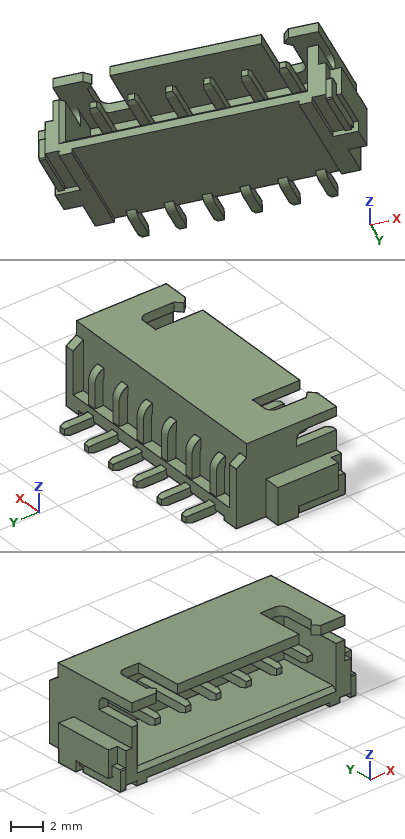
import cadquery as cq
import math

body_width = 17.52
body_height = 6.0
wall_rear = 7.8
main_rear = 7.0
slope_bottom = 4.45
slope_top = 4.95
body_half = body_width / 2

cavity_half = 8.05
cavity_rear = 4.92
floor_top = 1.2
roof_bottom = 5.3
lead_in = 0.3

window_depth = 3.1
window_bottom = 4.28
opening_radius = 0.6
slot_inner = 5.0
slot_outer = 6.78
slot_depth = 3.68
latch_size = 0.45

foot_height = 0.3
foot_inner = 7.5

overall_half = 10.0
ear_height = 2.8
ear_rear = 5.5
ear_inner = 9.25
step_front = 0.8
step_height = 0.78
step_rear = 3.88
recess_inner = 8.35
recess_height = 0.35
tab_outer = 9.68
tab_height = 1.58
tab_notch = 0.32
tab_bevel = 0.08

pin_count = 6
pin_pitch = 2.5
pin_size = 0.65
pin_axis_height = 3.65
pin_front = 0.45
pin_rear = 10.0
pin_leg_rear = 7.7
bend_inner_radius = 0.32
tip_length = 0.4
tip_inset = 0.1

SIDES = (-1, 1)


def box(x_range, y_range, z_range):
    """Box between two coordinates on each axis."""
    size = [high - low for low, high in (x_range, y_range, z_range)]
    corner = (x_range[0], y_range[0], z_range[0])
    return cq.Workplane("XY").box(*size, centered=False).translate(corner)


def side_box(side, x_inner, x_outer, y_range, z_range):
    """Box on the left (-1) or right (+1), between two distances from the middle plane."""
    x_range = sorted((side * x_inner, side * x_outer))
    return box(x_range, y_range, z_range)


def make_block():
    """Full-width block with the sloped rear corner, lowered at the rear between the side walls."""
    profile = [
        (0, 0),
        (wall_rear, 0),
        (wall_rear, slope_bottom),
        (main_rear, slope_top),
        (main_rear, body_height),
        (0, body_height),
    ]
    block = cq.Workplane("YZ").polyline(profile).close().extrude(body_half, both=True)
    rear_bay = box((-cavity_half, cavity_half), (main_rear, wall_rear), (floor_top, body_height))
    underside = box((-foot_inner, foot_inner), (0, wall_rear), (0, foot_height))
    return block.cut(rear_bay).cut(underside)


def make_cavity():
    """Mating cavity whose mouth widens by an entry chamfer at the floor and the left wall."""
    left = -cavity_half
    cavity = box((left, cavity_half), (0, cavity_rear), (floor_top, roof_bottom))
    mouth = cq.Workplane("XZ").polyline([
        (left - lead_in, floor_top - lead_in),
        (cavity_half, floor_top - lead_in),
        (cavity_half, roof_bottom),
        (left - lead_in, roof_bottom),
    ]).close()
    chamfered_mouth = mouth.workplane(offset=-lead_in).polyline([
        (left, floor_top),
        (cavity_half, floor_top),
        (cavity_half, roof_bottom),
        (left, roof_bottom),
    ]).close()
    return cavity.union(chamfered_mouth.loft(ruled=True))


def make_windows():
    """Opening through both side walls, with a rounded upper rear corner."""
    return (
        box((-body_half, body_half), (0, window_depth), (window_bottom, roof_bottom))
        .edges("|X and >Y and >Z")
        .fillet(opening_radius)
    )


def make_roof_slot(side):
    """Slot through the roof, narrowed at its mouth by a triangular nub."""
    corner_cut = opening_radius * (1 - math.sqrt(0.5))
    return (
        cq.Workplane("XY", origin=(0, 0, roof_bottom))
        .moveTo(side * slot_inner, 0)
        .lineTo(side * slot_outer, 0)
        .lineTo(side * (slot_outer - latch_size), latch_size)
        .lineTo(side * slot_outer, 2 * latch_size)
        .lineTo(side * slot_outer, slot_depth - opening_radius)
        .threePointArc(
            (side * (slot_outer - corner_cut), slot_depth - corner_cut),
            (side * (slot_outer - opening_radius), slot_depth),
        )
        .lineTo(side * slot_inner, slot_depth)
        .close()
        .extrude(body_height - roof_bottom)
    )


def make_ear(side):
    """Mounting ear, stepped back in front and below to make room for the solder tab."""
    ear = side_box(side, body_half, overall_half, (0, ear_rear), (0, ear_height))
    front_step = side_box(side, ear_inner, overall_half, (0, step_front), (0, ear_height))
    lower_step = side_box(side, ear_inner, overall_half, (0, step_rear), (0, step_height))
    return ear.cut(front_step).cut(lower_step)


def make_recess(side):
    """Recess under the body beside the solder tab."""
    return side_box(side, recess_inner, ear_inner, (0, step_rear), (0, recess_height))


def make_pin_tip(y_base, height, direction):
    """Tapered pin end that points along Y in the given direction."""
    taper = math.degrees(math.atan2(tip_inset, tip_length))
    plane = cq.Plane(origin=(0, y_base, height), xDir=(1, 0, 0), normal=(0, direction, 0))
    return cq.Workplane(plane).rect(pin_size, pin_size).extrude(tip_length, taper=taper)


def make_pin():
    """Square pin: straight in the cavity, bent down behind it and bent back into a solder foot."""
    foot_axis_height = pin_size / 2
    leg_axis = pin_leg_rear - pin_size / 2
    bend = bend_inner_radius + pin_size / 2
    bend_cut = bend * (1 - math.sqrt(0.5))
    straight_front = pin_front + tip_length
    foot_end = pin_rear - tip_length
    path = (
        cq.Workplane("YZ")
        .moveTo(straight_front, pin_axis_height)
        .lineTo(leg_axis - bend, pin_axis_height)
        .threePointArc(
            (leg_axis - bend_cut, pin_axis_height - bend_cut),
            (leg_axis, pin_axis_height - bend),
        )
        .lineTo(leg_axis, foot_axis_height + bend)
        .threePointArc(
            (leg_axis + bend_cut, foot_axis_height + bend_cut),
            (leg_axis + bend, foot_axis_height),
        )
        .lineTo(foot_end, foot_axis_height)
    )
    start = cq.Plane(origin=(0, straight_front, pin_axis_height), xDir=(1, 0, 0), normal=(0, 1, 0))
    bar = cq.Workplane(start).rect(pin_size, pin_size).sweep(path)
    mating_tip = make_pin_tip(straight_front, pin_axis_height, -1)
    solder_tip = make_pin_tip(foot_end, foot_axis_height, 1)
    return bar.union(mating_tip).union(solder_tip)


def make_housing():
    """Housing with its contacts as one solid."""
    housing = make_block()
    for side in SIDES:
        housing = housing.union(make_ear(side))
    housing = housing.cut(make_cavity()).cut(make_windows())
    for side in SIDES:
        housing = housing.cut(make_roof_slot(side)).cut(make_recess(side))
    pin = make_pin()
    for index in range(pin_count):
        x = (index - (pin_count - 1) / 2) * pin_pitch
        housing = housing.union(pin.translate((x, 0, 0)))
    return housing


def make_tab(side):
    """Solder tab: low strip beside the body with an upright at its front end."""
    strip = side_box(side, ear_inner, tab_outer, (0, step_rear), (0, step_height))
    upright = side_box(side, ear_inner, tab_outer, (0, step_front), (0, tab_height))
    rear_notch = side_box(
        side, ear_inner, tab_outer, (step_rear - tab_notch, step_rear), (0, recess_height)
    )
    tab = strip.union(upright).cut(rear_notch)
    return tab.faces("<Y").edges("|X").chamfer(tab_bevel)


housing = make_housing()
tabs = [make_tab(side) for side in SIDES]

result = cq.Compound.makeCompound([housing.val(), *[tab.val() for tab in tabs]])